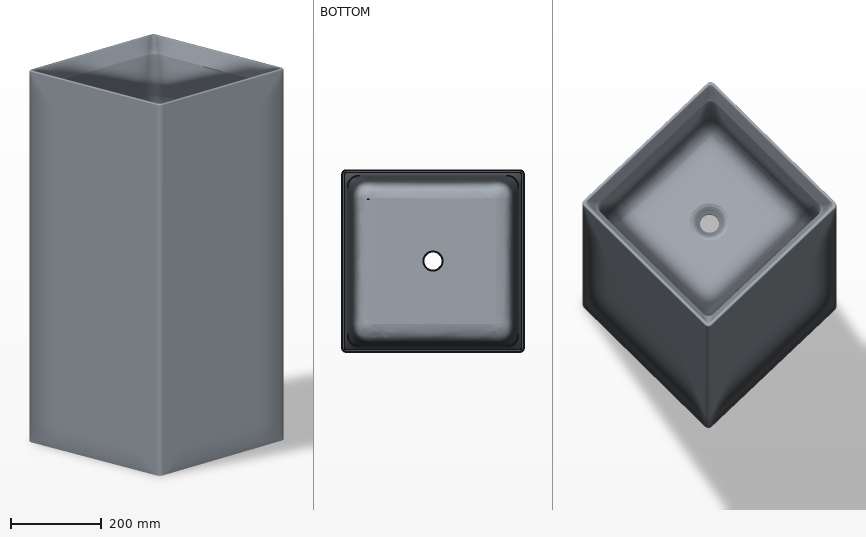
import cadquery as cq
width = 400.0
height = 850.0
corner_radius = 10.0
wall = 5.0
rim_round = 2.5

rim_half = 194.0
rim_corner = 8.0
crease_half = 178.0
crease_corner = 15.0
crease_depth = 36.0
floor_half = 162.0
floor_corner = 28.0
floor_depth = 150.0
floor_round = 29.0
bowl_thickness = 10.0
floor_z = height - floor_depth

slit_width = 56.0
slit_height = 3.0
slit_depth = 4.0

drain_radius = 42.0 / 2
lip_radius = 42.5
seat_radius = 36.0
ledge_radius = 28.0
seat_drop = 2.5
ledge_drop = 9.0
drain_drop = 14.0
drain_thickness = 2.5
underside_z = floor_z - drain_drop - drain_thickness


def rounded_column(side, radius, tall):
    """Square column standing on the ground with rounded upright edges."""
    column = cq.Workplane("XY").rect(side, side).extrude(tall)
    return column.edges("|Z").fillet(radius)


def rounded_square(half, radius, z):
    """Sketch of a rounded square at height z."""
    square = cq.Sketch().rect(2 * half, 2 * half).vertices().fillet(radius)
    return square.moved(cq.Location(cq.Vector(0, 0, z)))


def bowl_solid(offset, bottom_z):
    """Flared bowl volume, grown sideways by offset and reaching down to bottom_z."""
    levels = [
        (floor_half, floor_corner, bottom_z),
        (crease_half, crease_corner, height - crease_depth),
        (rim_half, rim_corner, height),
    ]
    squares = [rounded_square(half + offset, radius + offset, z) for half, radius, z in levels]
    bowl = cq.Workplane("XY").placeSketch(*squares).loft(ruled=True)
    return bowl.faces("<Z").edges().fillet(floor_round + offset)


def drain_cut():
    """Stepped drain recess with its through hole."""
    return (
        cq.Workplane("XZ")
        .moveTo(0, floor_z)
        .lineTo(lip_radius, floor_z)
        .lineTo(seat_radius, floor_z - seat_drop)
        .lineTo(ledge_radius, floor_z - ledge_drop)
        .lineTo(drain_radius, floor_z - drain_drop)
        .lineTo(drain_radius, underside_z)
        .lineTo(0, underside_z)
        .close()
        .revolve(360, (0, 0), (0, 1))
    )


def overflow_slit():
    """Thin slot sunk into the back wall just below the crease."""
    slit = cq.Workplane("XY").box(slit_width, 2 * slit_depth, slit_height)
    return slit.translate((0, crease_half, height - crease_depth - slit_height / 2))


column = rounded_column(width, corner_radius, height)
inside = rounded_column(width - 2 * wall, corner_radius - wall, height)
hollow = inside.cut(bowl_solid(bowl_thickness, underside_z))
basin = column.cut(hollow).cut(bowl_solid(0, floor_z))
basin = basin.faces(">Z").edges().fillet(rim_round)
result = basin.cut(drain_cut()).cut(overflow_slit())